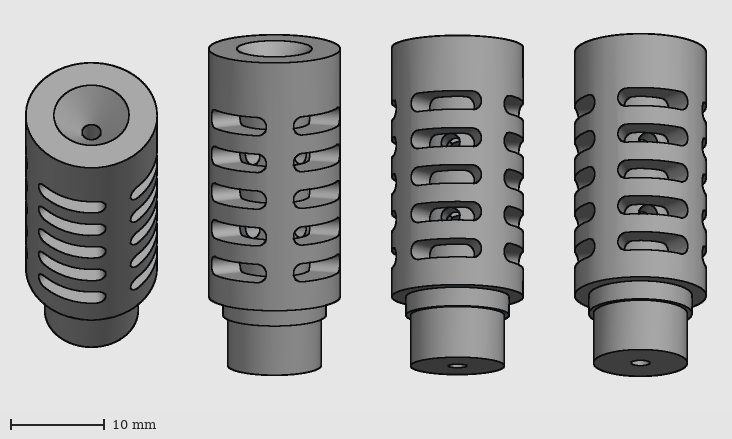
import cadquery as cq
import math

total_height = 34.5
body_diameter = 14.0
collar_diameter = 11.0
collar_height = 2.0
stem_diameter = 10.0
stem_height = 5.5

bore_diameter = 2.0
mouth_diameter = 8.0
mouth_depth = (mouth_diameter - bore_diameter) / 2

slot_height = 2.0
slot_pitch = 2 * slot_height
slot_rows = 5
slots_per_row = 4
slot_floor_diameter = 7.5
slot_half_angle = 24.8
drilled_rows = (1, 3)

body_bottom = stem_height + collar_height
first_slot_height = body_bottom + slot_pitch
slot_reach = body_diameter


def turned_body():
    """Stem, collar and body as one stepped solid of revolution."""
    stem = cq.Workplane("XY").circle(stem_diameter / 2).extrude(stem_height)
    collar = stem.faces(">Z").workplane().circle(collar_diameter / 2).extrude(collar_height)
    body_height = total_height - body_bottom
    return collar.faces(">Z").workplane().circle(body_diameter / 2).extrude(body_height)


def bore():
    """Through bore opening into a cone at the top face."""
    return (
        cq.Workplane("XZ")
        .lineTo(mouth_diameter / 2, 0)
        .lineTo(bore_diameter / 2, -mouth_depth)
        .lineTo(bore_diameter / 2, -total_height)
        .lineTo(0, -total_height)
        .close()
        .revolve(360, (0, 0, 0), (0, 1, 0))
        .translate((0, 0, total_height))
    )


def radial_cylinder(diameter, angle):
    """Cylinder centred on Z = 0, running outward from the axis at an angle from +X."""
    cylinder = cq.Workplane("YZ").circle(diameter / 2).extrude(slot_reach)
    return cylinder.rotate((0, 0, 0), (0, 0, 1), angle)


def slot():
    """Slot cutter facing +X: a sector with round radial ends and a cylindrical floor."""
    half_width = slot_reach * math.tan(math.radians(slot_half_angle))
    sector = (
        cq.Workplane("XY")
        .polyline([(0, 0), (slot_reach, -half_width), (slot_reach, half_width)])
        .close()
        .extrude(slot_height / 2, both=True)
    )
    for end_angle in (-slot_half_angle, slot_half_angle):
        sector = sector.union(radial_cylinder(slot_height, end_angle))
    core = cq.Workplane("XY").circle(slot_floor_diameter / 2).extrude(slot_height, both=True)
    return sector.cut(core)


result = turned_body().cut(bore())

slot_cutter = slot()
for row in range(slot_rows):
    row_height = first_slot_height + row * slot_pitch
    for index in range(slots_per_row):
        side_angle = index * 360 / slots_per_row
        cutter = slot_cutter.rotate((0, 0, 0), (0, 0, 1), side_angle)
        result = result.cut(cutter.translate((0, 0, row_height)))
        if row in drilled_rows:
            cross_hole = radial_cylinder(bore_diameter, side_angle)
            result = result.cut(cross_hole.translate((0, 0, row_height)))